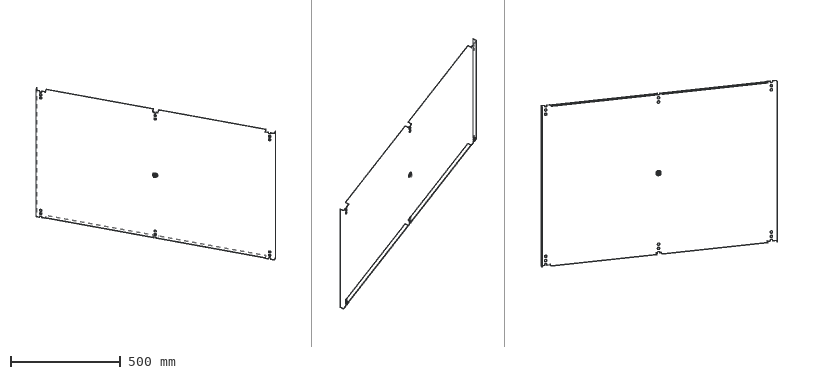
import cadquery as cq
import math

WIDTH = 1130.0
HEIGHT = 774.0
SHEET = 2.0
FLANGE_DEPTH = 19.0
BEND_RADIUS = 4.0
INNER_BEND_RADIUS = BEND_RADIUS - SHEET

FLANGE_END = 520.0
FLANGE_GAP = 25.0
FLANGE_LENGTH = FLANGE_END - FLANGE_GAP / 2

HOLE_DIAMETER = 11.1
HOLE_COLUMN_X = 541.0
HOLE_PITCH = 20.0
OUTER_HOLE_Z = 384.0
HOLES_PER_COLUMN = 3

TAB_WIDTH = 14.0

DISC_DIAMETER = 25.0
HEXAGON_ACROSS_FLATS = 15.0
HEXAGON_HEIGHT = 8.0
BORE_DIAMETER = 7.8


def flange(edge_distance, length):
    """Flange along +Z, centred on Z, with its bend; its outer side is at x = edge_distance."""
    return (
        cq.Workplane("XY", origin=(0, 0, -length / 2))
        .moveTo(edge_distance - BEND_RADIUS, 0)
        .radiusArc((edge_distance, BEND_RADIUS), -BEND_RADIUS)
        .lineTo(edge_distance, FLANGE_DEPTH)
        .lineTo(edge_distance - SHEET, FLANGE_DEPTH)
        .lineTo(edge_distance - SHEET, BEND_RADIUS)
        .radiusArc((edge_distance - BEND_RADIUS, SHEET), INNER_BEND_RADIUS)
        .close()
        .extrude(length)
    )


def flat_sheet(x0, x1, z0, z1):
    """Flat sheet with its outer face on y = 0, spanning the given X and Z limits."""
    return cq.Workplane("XY").box(x1 - x0, SHEET, z1 - z0, centered=False).translate((x0, 0, z0))


def make_panel():
    flat_x = WIDTH / 2 - BEND_RADIUS
    flat_z = HEIGHT / 2 - BEND_RADIUS
    panel = flat_sheet(-flat_x, flat_x, -flat_z, flat_z)

    panel = panel.union(flat_sheet(-TAB_WIDTH / 2, TAB_WIDTH / 2, -HEIGHT / 2, HEIGHT / 2))
    panel = panel.union(flat_sheet(-flat_x, -FLANGE_END, -HEIGHT / 2, HEIGHT / 2))
    panel = panel.union(flat_sheet(FLANGE_END, flat_x, -HEIGHT / 2, HEIGHT / 2))

    side_flange = flange(WIDTH / 2, HEIGHT)
    panel = panel.union(side_flange).union(side_flange.mirror("YZ"))

    edge_flange = flange(HEIGHT / 2, FLANGE_LENGTH)
    flange_middle = FLANGE_GAP / 2 + FLANGE_LENGTH / 2
    for turn in (-90, 90):
        turned_flange = edge_flange.rotate((0, 0, 0), (0, 1, 0), turn)
        for x in (-flange_middle, flange_middle):
            panel = panel.union(turned_flange.translate((x, 0, 0)))

    return panel.cut(mounting_holes()).cut(make_disc())


def mounting_holes():
    centres = [
        (x, side * (OUTER_HOLE_Z - row * HOLE_PITCH))
        for x in (-HOLE_COLUMN_X, 0, HOLE_COLUMN_X)
        for side in (-1, 1)
        for row in range(HOLES_PER_COLUMN)
    ]
    return cq.Workplane("XZ").pushPoints(centres).circle(HOLE_DIAMETER / 2).extrude(-SHEET)


def make_disc():
    return cq.Workplane("XZ").circle(DISC_DIAMETER / 2).extrude(-SHEET)


def make_hexagon():
    """Hexagon with two corners on the X axis and a bore along Y."""
    across_corners = HEXAGON_ACROSS_FLATS / math.cos(math.pi / 6)
    return (
        cq.Workplane("XZ")
        .polygon(6, across_corners)
        .circle(BORE_DIAMETER / 2)
        .extrude(HEXAGON_HEIGHT)
    )


panel = make_panel()
disc = make_disc()
hexagon = make_hexagon()

result = cq.Compound.makeCompound([panel.val(), disc.val(), hexagon.val()])